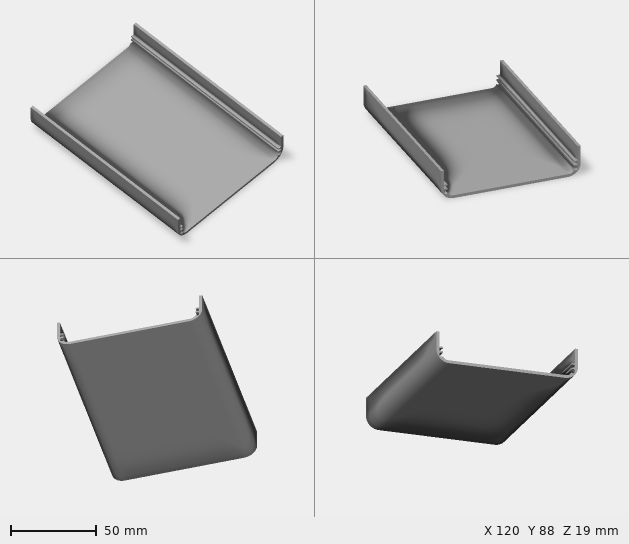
import cadquery as cq

length = 120.0
width = 88.0
height = 19.0
wall = 1.8
outer_corner_radius = 7.9
inner_corner_radius = 3.1

rib_tip = 4.0
upper_rib_top = 9.7
upper_rib_thickness = 0.9
lower_rib_top = 7.1
channel_radius = 1.3
channel_inset = 3.1
channel_height = 4.8

overlap = wall / 2


def box_between(y_start, y_end, z_start, z_end):
    """Full-length bar filling the given Y and Z ranges."""
    return cq.Workplane("XY").box(
        length, y_end - y_start, z_end - z_start, centered=(True, False, False)
    ).translate((0, y_start, z_start))


def centered_bar(side_inset, bottom):
    """Full-length bar up to the rim, set in from both outer side faces."""
    half_width = width / 2 - side_inset
    return box_between(-half_width, half_width, bottom, height)


def upper_rib():
    """Thin guide rib on the -Y wall."""
    return box_between(
        -width / 2 + overlap,
        -width / 2 + rib_tip,
        upper_rib_top - upper_rib_thickness,
        upper_rib_top,
    )


def screw_channel():
    """Round channel on the -Y side, breaking out under the lower rib."""
    return (
        cq.Workplane("YZ")
        .center(-width / 2 + channel_inset, channel_height)
        .circle(channel_radius)
        .extrude(length / 2, both=True)
    )


outer = centered_bar(0, 0).edges("|X and <Z").fillet(outer_corner_radius)
upper_cavity = centered_bar(wall, lower_rib_top)
lower_cavity = centered_bar(rib_tip, wall).edges("|X and <Z").fillet(inner_corner_radius)
result = outer.cut(upper_cavity).cut(lower_cavity)

channel = screw_channel()
result = result.cut(channel).cut(channel.mirror("XZ"))

rib = upper_rib()
result = result.union(rib).union(rib.mirror("XZ"))